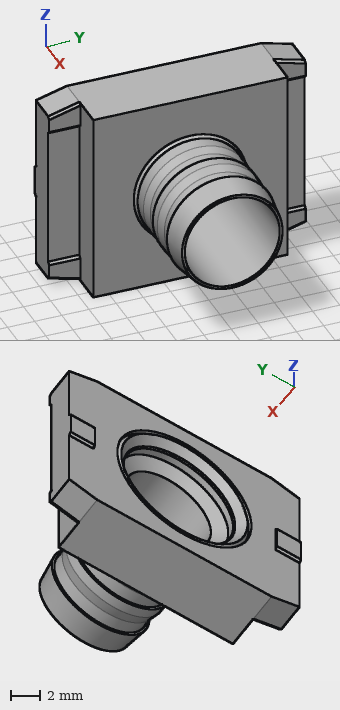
import cadquery as cq
import math

block_side = 14.3
block_depth = 4.72
overall_width = 18.9
ear_depth = 2.21
ear_draft_angle = 15.0
step_height = 0.19

pad_length = 1.98
pad_height = 2.45

ridge_inner_z = 5.18

head_radius = 5.5
head_depth = 2.27
rim_chamfer_depth = 0.32
shank_radius = 4.18
barb_radius = 4.0
groove_radius = 3.8
tip_radius = 3.7
root_end = block_depth + 0.28
first_barb_end = 6.05
first_groove_start = 6.77
second_barb_start = 7.71
second_barb_end = 8.5
second_groove_start = 9.28
last_barb_start = 10.25
nozzle_end = 12.2

mouth_radius = 5.18
seat_radius = 4.57
seat_depth = 0.6
counterbore_radius = 4.52
counterbore_start = 0.77
counterbore_end = 1.36
bore_radius = 3.5
bore_start = 1.97

half_side = block_side / 2
half_width = overall_width / 2
ear_end_z = half_side - (half_width - half_side) * math.tan(math.radians(ear_draft_angle))


def extrude_in_y(points, y_start, y_end):
    """Prism along Y from an outline of (x, z) points."""
    plane = cq.Workplane("XZ", origin=(0, y_start, 0))
    return plane.polyline(points).close().extrude(y_start - y_end)


def revolve_about_x(points):
    """Turned solid about the X axis from an outline of (x, radius) points."""
    return cq.Workplane("XY").polyline(points).close().revolve(360, (0, 0, 0), (1, 0, 0))


def make_ears():
    """Plate with sloped corners that forms both ears."""
    outline = [
        (-half_width, -ear_end_z),
        (-half_side, -half_side),
        (half_side, -half_side),
        (half_width, -ear_end_z),
        (half_width, ear_end_z),
        (half_side, half_side),
        (-half_side, half_side),
        (-half_width, ear_end_z),
    ]
    return cq.Workplane("YZ").polyline(outline).close().extrude(ear_depth)


def make_pad():
    """Raised pad on the front of the +Y ear."""
    half_height = pad_height / 2
    outline = [
        (0, -half_height),
        (-step_height, step_height - half_height),
        (-step_height, half_height - step_height),
        (0, half_height),
    ]
    return extrude_in_y(outline, half_width - pad_length, half_width)


def make_ridge():
    """Ridge on the back of the +Y ear, its upper flank rising from the sloped ear edge."""
    def section(y, edge_z):
        points = [
            (ear_depth, ridge_inner_z),
            (ear_depth + step_height, ridge_inner_z + step_height),
            (ear_depth + step_height, edge_z - step_height),
            (ear_depth, edge_z),
        ]
        return cq.Wire.makePolygon([cq.Vector(x, y, z) for x, z in points], close=True)

    inner = section(half_side, half_side)
    outer = section(half_width, ear_end_z)
    return cq.Workplane(cq.Solid.makeLoft([inner, outer], True))


def make_seat():
    """Stepped hole that the nozzle head and shank fill."""
    return revolve_about_x([
        (0, 0),
        (0, head_radius),
        (head_depth, head_radius),
        (head_depth, shank_radius),
        (block_depth, shank_radius),
        (block_depth, 0),
    ])


def make_flange():
    block = cq.Workplane("YZ").rect(block_side, block_side).extrude(block_depth)
    body = block.union(make_ears())
    pad = make_pad()
    upper_ridge = make_ridge()
    ridge_pair = upper_ridge.union(upper_ridge.mirror("XY"))
    for feature in (pad, ridge_pair):
        body = body.union(feature).union(feature.mirror("XZ"))
    return body.cut(make_seat())


def make_nozzle():
    outside = [
        (rim_chamfer_depth, head_radius),
        (head_depth, head_radius),
        (head_depth, shank_radius),
        (block_depth, shank_radius),
        (root_end, barb_radius),
        (first_barb_end, barb_radius),
        (first_groove_start, groove_radius),
        (second_barb_start, groove_radius),
        (second_barb_start, barb_radius),
        (second_barb_end, barb_radius),
        (second_groove_start, groove_radius),
        (last_barb_start, groove_radius),
        (last_barb_start, barb_radius),
        (nozzle_end, tip_radius),
    ]
    inside = [
        (nozzle_end, bore_radius),
        (bore_start, bore_radius),
        (counterbore_end, counterbore_radius),
        (counterbore_start, counterbore_radius),
        (seat_depth, seat_radius),
        (0, mouth_radius),
    ]
    return revolve_about_x(outside + inside)


flange = make_flange()
nozzle = make_nozzle()
result = cq.Compound.makeCompound([flange.val(), nozzle.val()])